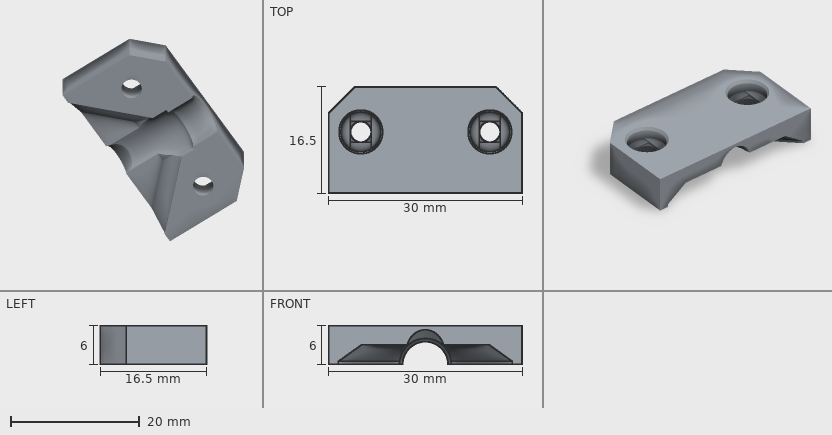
import cadquery as cq
import math

length = 30.0
depth = 16.5
height = 6.0
corner_chamfer = 4.05

screw_spacing = 20.0
screw_y = 9.5
screw_radius = 1.6
head_radius = 3.1
head_depth = 1.95
rim_width = 0.3
rim_depth = 0.5
step_width = 3.25
step_depth = 0.2

recess_half_width = 13.5
recess_lip = 0.45
recess_height = 3.03
recess_ceiling_half_width = 9.9
recess_tip_y = 5.97
recess_tip_slope = 1.6

bore_radius = 3.5
entry_radius = 4.02
entry_depth = 12.0
relief_radius = 3.0
relief_axis_z = 1.83
relief_length = 9.0
relief_angle = 32.0

overlap = 0.3


def make_body():
    block = cq.Workplane("XY").box(length, depth, height, centered=(True, False, False))
    return block.faces(">Y").edges("|Z").chamfer(corner_chamfer)


def triangle_at(z, half_width):
    """Right-angled triangle with its long side on the front face."""
    corners = [(-half_width, 0), (half_width, 0), (0, half_width)]
    return cq.Workplane("XY").workplane(offset=z).polyline(corners).close()


def make_recess():
    lip = triangle_at(0, recess_half_width).extrude(recess_lip)
    ramps = (
        triangle_at(recess_lip, recess_half_width)
        .workplane(offset=recess_height - recess_lip)
        .polyline([
            (-recess_ceiling_half_width, 0),
            (recess_ceiling_half_width, 0),
            (0, recess_ceiling_half_width),
        ])
        .close()
        .loft(ruled=True)
    )
    tip_floor_y = recess_tip_y + recess_tip_slope * recess_height
    side_profile = [(0, 0), (tip_floor_y, 0), (recess_tip_y, recess_height), (0, recess_height)]
    tip_limit = (
        cq.Workplane("YZ").polyline(side_profile).close().extrude(recess_half_width, both=True)
    )
    return lip.union(ramps).intersect(tip_limit)


def rod_along_y(radius, rod_length):
    return cq.Workplane("XZ", origin=(0, -overlap, 0)).circle(radius).extrude(-rod_length - overlap)


def make_relief():
    """Round relief that slopes down from the front face to meet the entry."""
    tilt = math.radians(relief_angle)
    axis = cq.Vector(0, math.cos(tilt), -math.sin(tilt))
    start = cq.Vector(0, 0, relief_axis_z) - axis * relief_radius
    rod = cq.Solid.makeCylinder(
        relief_radius, relief_length + relief_radius, start, axis
    )
    return cq.Workplane(obj=rod)


def make_screw_cut(x):
    floor = height - head_depth
    rim = cq.Solid.makeCone(
        head_radius, head_radius + rim_width, rim_depth, cq.Vector(0, 0, height - rim_depth)
    )
    head = cq.Workplane("XY").workplane(offset=floor).circle(head_radius).extrude(head_depth)
    slot = (
        cq.Workplane("XY").workplane(offset=floor - step_depth)
        .rect(step_width, 2 * head_radius).extrude(step_depth)
        .intersect(cq.Workplane("XY").circle(head_radius).extrude(height))
    )
    square = (
        cq.Workplane("XY").workplane(offset=floor - 2 * step_depth)
        .rect(step_width, step_width).extrude(step_depth)
    )
    shank = cq.Workplane("XY").circle(screw_radius).extrude(height)
    cut = head.union(cq.Workplane(obj=rim)).union(slot).union(square).union(shank)
    return cut.translate((x, screw_y, 0))


result = make_body().cut(make_recess())
result = result.cut(make_relief())
result = result.cut(rod_along_y(entry_radius, entry_depth))
result = result.cut(rod_along_y(bore_radius, depth + overlap))
for side in (-1, 1):
    result = result.cut(make_screw_cut(side * screw_spacing / 2))